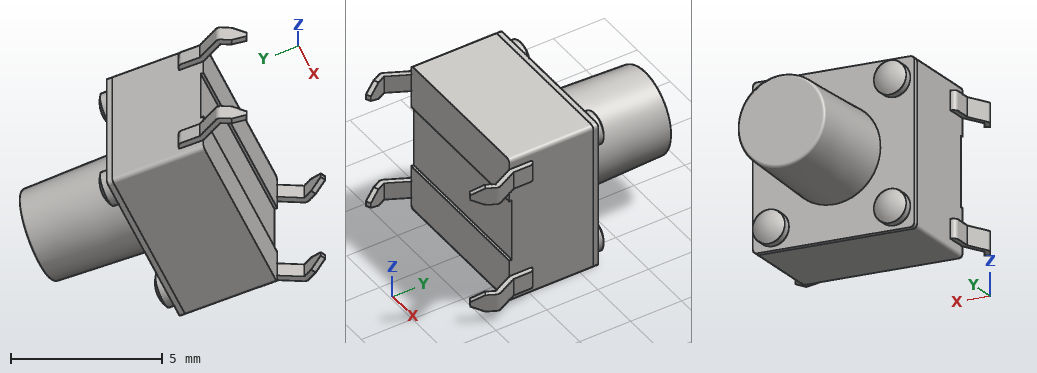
import cadquery as cq
import math


overall_length = 8.95
overall_width = 7.2
body_size = 6.0
body_corner_radius = 0.15
cover_thickness = 0.2

base_depth = 3.3
channel_width = 2.5
channel_depth = 0.1

corner_pitch = 4.5
rivet_radius = 0.6
rivet_rim_height = 0.3
rivet_dome_height = 0.2

button_height = 3.795
button_base_radius = 1.745
button_top_radius = 1.62
button_edge_radius = 0.1

leg_width = 0.7
leg_thickness = 0.2
leg_pad_height = 0.88
leg_pad_corner_radius = 0.18
leg_bend_drop = 0.8
leg_tip_width = 0.2
leg_taper_length = 0.5

half_body = body_size / 2
half_pitch = corner_pitch / 2
cover_face = base_depth + cover_thickness
leg_reach = overall_length - cover_face - button_height
bend_x = overall_width / 2 - leg_thickness
leg_angle = math.atan2(bend_x - half_body, leg_bend_drop)
leg_sin = math.sin(leg_angle)
leg_cos = math.cos(leg_angle)
leg_tip_length = (leg_reach - leg_bend_drop - leg_thickness * leg_sin) / leg_cos


def square_block(start_y, depth):
    """Square block with rounded corners, extruded toward +Y from start_y."""
    return (
        cq.Workplane("XZ", origin=(0, start_y, 0))
        .rect(body_size, body_size)
        .extrude(-depth)
        .edges("|Y")
        .fillet(body_corner_radius)
    )


def make_base():
    channel = cq.Workplane("XY").box(body_size, 2 * channel_depth, channel_width)
    return square_block(0, base_depth).cut(channel)


def make_button():
    """Tapered round button with a rounded top edge, standing on the cover."""
    top = cover_face + button_height
    cone = (
        cq.Workplane("YZ")
        .moveTo(cover_face, 0)
        .lineTo(cover_face, button_base_radius)
        .lineTo(top, button_top_radius)
        .lineTo(top, 0)
        .close()
        .revolve(360, (0, 0, 0), (1, 0, 0))
    )
    return cone.faces(">Y").edges().fillet(button_edge_radius)


def make_rivet_head(x, z):
    """Short cylinder with a spherical dome."""
    rim = cover_face + rivet_rim_height
    top = rim + rivet_dome_height
    sphere_radius = (rivet_radius**2 + rivet_dome_height**2) / (2 * rivet_dome_height)
    half_angle = math.asin(rivet_radius / sphere_radius) / 2
    arc_middle = (
        top - sphere_radius * (1 - math.cos(half_angle)),
        sphere_radius * math.sin(half_angle),
    )
    return (
        cq.Workplane("YZ")
        .moveTo(cover_face, 0)
        .lineTo(cover_face, rivet_radius)
        .lineTo(rim, rivet_radius)
        .threePointArc(arc_middle, (top, 0))
        .close()
        .revolve(360, (0, 0, 0), (1, 0, 0))
        .translate((x, 0, z))
    )


def make_cover():
    """Cover plate with the button and four rivet heads."""
    cover = square_block(base_depth, cover_thickness).union(make_button())
    for x in (-half_pitch, half_pitch):
        for z in (-half_pitch, half_pitch):
            cover = cover.union(make_rivet_head(x, z))
    return cover


def make_leg(side, z):
    """Bent leg on the +X (side = 1) or -X (side = -1) face, with a tapered tip."""
    pad_x = half_body + leg_thickness
    pad_bend_y = leg_thickness * math.tan(leg_angle / 2)
    bend_shift = (leg_thickness * leg_cos, leg_thickness * leg_sin)
    bend_start = (bend_x + bend_shift[0], -leg_bend_drop + bend_shift[1])
    bend_end = (bend_x + bend_shift[0], -leg_bend_drop - bend_shift[1])
    tip_shift = (-leg_tip_length * leg_sin, -leg_tip_length * leg_cos)
    tip_inner = (bend_x + tip_shift[0], -leg_bend_drop + tip_shift[1])
    tip_outer = (bend_end[0] + tip_shift[0], bend_end[1] + tip_shift[1])

    leg = (
        cq.Workplane("XY")
        .moveTo(half_body, leg_pad_height)
        .lineTo(pad_x, leg_pad_height)
        .lineTo(pad_x, pad_bend_y)
        .lineTo(*bend_start)
        .threePointArc((bend_x + leg_thickness, -leg_bend_drop), bend_end)
        .lineTo(*tip_outer)
        .lineTo(*tip_inner)
        .lineTo(bend_x, -leg_bend_drop)
        .lineTo(half_body, 0)
        .close()
        .extrude(leg_width / 2, both=True)
    )
    leg = leg.edges(cq.selectors.NearestToPointSelector((pad_x, leg_pad_height, 0))).fillet(
        leg_pad_corner_radius
    )

    tip_plane = cq.Plane(
        origin=(*tip_inner, 0),
        xDir=(-leg_sin, -leg_cos, 0),
        normal=(leg_cos, -leg_sin, 0),
    )
    for edge in (-1, 1):
        corner = [
            (0, edge * leg_tip_width / 2),
            (0, edge * leg_width / 2),
            (-leg_taper_length, edge * leg_width / 2),
        ]
        leg = leg.cut(cq.Workplane(tip_plane).polyline(corner).close().extrude(leg_thickness))

    if side < 0:
        leg = leg.mirror("YZ")
    return leg.translate((0, 0, z))


base = make_base()
cover = make_cover()
legs = [make_leg(side, z) for side in (-1, 1) for z in (-half_pitch, half_pitch)]

result = cq.Compound.makeCompound([base.val(), cover.val(), *[leg.val() for leg in legs]])